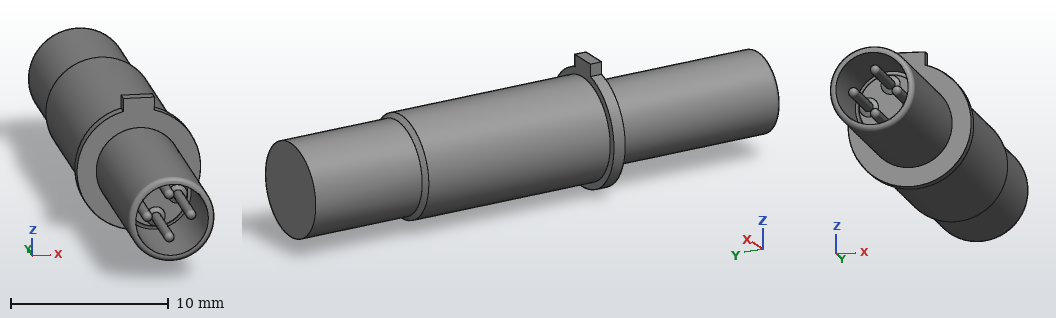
import cadquery as cq

total_length = 34.35
front_length = 12.13
flange_thickness = 0.82
rear_length = 7.8

front_radius = 2.75
flange_radius = 4.0
body_radius = 3.5
rear_radius = 3.2
rim_fillet = 0.3

tab_width = 2.0
tab_top = 4.7

bore_radius = 2.35
bore_depth = 6.0
insulator_fillet = 0.27

pin_count = 4
pin_circle_radius = 1.4
pin_radius = 0.3
pin_collar_radius = 0.62
pin_collar_height = 0.17
pin_tip_recess = 0.72

front_end = -total_length / 2
rear_end = total_length / 2
flange_front = front_end + front_length
flange_rear = flange_front + flange_thickness
rear_start = rear_end - rear_length
body_chamfer = body_radius - rear_radius
insulator_face = front_end + bore_depth


def revolve_about_y(profile):
    """Turn a closed profile, drawn as (radius, y), about the Y axis."""
    return profile.close().revolve(360, (0, 0, 0), (0, 1, 0))


def make_shell():
    """Stepped outside with a rounded front rim and a chamfered rear shoulder."""
    return revolve_about_y(
        cq.Workplane("XY")
        .moveTo(0, front_end)
        .lineTo(front_radius - rim_fillet, front_end)
        .radiusArc((front_radius, front_end + rim_fillet), -rim_fillet)
        .lineTo(front_radius, flange_front)
        .lineTo(flange_radius, flange_front)
        .lineTo(flange_radius, flange_rear)
        .lineTo(body_radius, flange_rear)
        .lineTo(body_radius, rear_start - body_chamfer)
        .lineTo(rear_radius, rear_start)
        .lineTo(rear_radius, rear_end)
        .lineTo(0, rear_end)
    )


def make_tab():
    """Key tab standing up from the flange, rooted inside the body."""
    return cq.Workplane("XY").box(
        tab_width, flange_thickness, tab_top, centered=(True, False, False)
    ).translate((0, flange_front, 0))


def make_socket():
    """Space inside the mating end, running around the rounded edge of the insulator."""
    return revolve_about_y(
        cq.Workplane("XY")
        .moveTo(0, front_end)
        .lineTo(bore_radius, front_end)
        .lineTo(bore_radius, insulator_face + insulator_fillet)
        .radiusArc((bore_radius - insulator_fillet, insulator_face), -insulator_fillet)
        .lineTo(0, insulator_face)
    )


def make_pin():
    """Round-tipped pin on the Y axis with a conical collar on the insulator face."""
    tip = front_end + pin_tip_recess
    return revolve_about_y(
        cq.Workplane("XY")
        .moveTo(0, tip)
        .radiusArc((pin_radius, tip + pin_radius), -pin_radius)
        .lineTo(pin_radius, insulator_face - pin_collar_height)
        .lineTo(pin_collar_radius, insulator_face)
        .lineTo(0, insulator_face)
    )


result = make_shell().union(make_tab()).cut(make_socket())
for index in range(pin_count):
    pin = make_pin().translate((pin_circle_radius, 0, 0))
    result = result.union(pin.rotate((0, 0, 0), (0, 1, 0), index * 360 / pin_count))